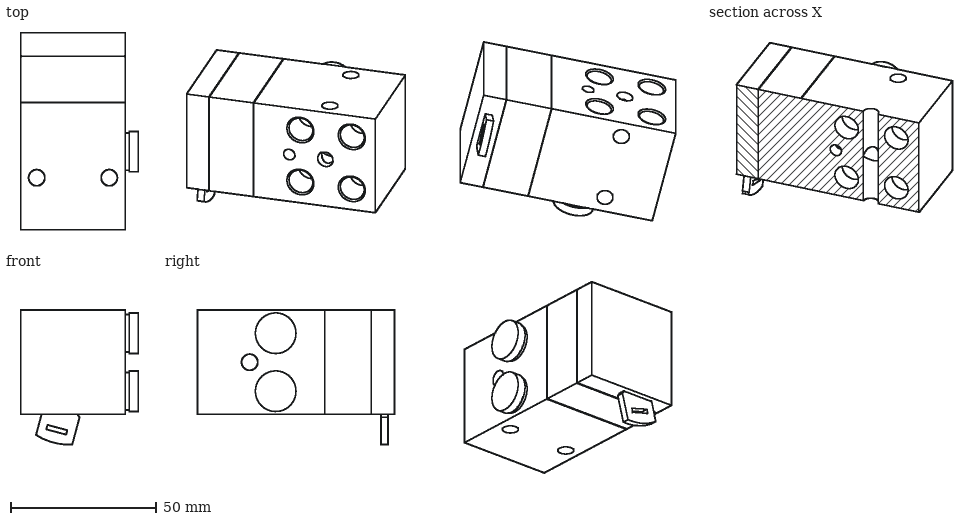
import cadquery as cq
import math

block_width = 36.05
block_height = 36.05
total_length = 68.0
cap_length = 8.0
body_length = total_length - cap_length
middle_x = block_width / 2
middle_z = block_height / 2

rear_section_length = 16.0
groove_width = 0.1
groove_depth = 0.2

port_diameter = 8.6
port_mouth_diameter = 9.7
port_chamfer = (port_mouth_diameter - port_diameter) / 2
port_depth = 12.0
front_port_y = 8.5
rear_port_y = 27.0
row_offset = 10.0
row_heights = (middle_z - row_offset, middle_z + row_offset)

mount_diameter = 5.5
mount_y = 18.0
mount_edge_distance = 5.5

drill_diameter = 4.0
drill_depth = 10.0
drill_y = 31.0
drill_point_angle = 118.0
drill_point_length = drill_diameter / 2 / math.tan(math.radians(drill_point_angle / 2))

fitting_neck_diameter = 13.0
fitting_head_diameter = 14.0
fitting_neck_length = 1.35
fitting_length = 4.5

lever_tilt = 15.0
lever_thickness = 2.5
lever_y = total_length - 3.5
lever_left_reach = 5.85
lever_right_reach = 7.15
lever_center = (lever_right_reach - lever_left_reach) / 2
lever_tip_drop = 28.55
lever_corner_drop = 27.55
lever_shoulder_drop = 17.8
lever_stem_right_reach = 6.1
lever_shoulder_rise = 0.95
lever_root_drop = 13.6
lever_slot_length = 7.0
lever_slot_width = 1.5
lever_slot_drop = 23.95


def x_cylinder(diameter, length, x, y, z):
    """Cylinder that starts at the given point and runs along +X."""
    return cq.Workplane("YZ", origin=(x, y, z)).circle(diameter / 2).extrude(length)


def x_cone(start_diameter, end_diameter, length, x, y, z):
    """Cone that starts at the given point and runs along +X."""
    start = cq.Vector(x, y, z)
    along_x = cq.Vector(1, 0, 0)
    cone = cq.Solid.makeCone(start_diameter / 2, end_diameter / 2, length, start, along_x)
    return cq.Workplane(obj=cone)


def block(start_y, length):
    """Plain rectangular stretch of the block along Y."""
    return cq.Workplane("XY", origin=(0, start_y, 0)).box(block_width, length, block_height, centered=False)


def groove(end_y):
    """Ring of material around the block, ending at end_y, to be cut away."""
    core = cq.Workplane("XY", origin=(middle_x, end_y - groove_width / 2, middle_z)).box(
        block_width - 2 * groove_depth, groove_width, block_height - 2 * groove_depth
    )
    return block(end_y - groove_width, groove_width).cut(core)


def port(y, z):
    """Flat-bottomed port with a chamfered mouth."""
    bore = x_cylinder(port_diameter, port_depth, 0, y, z)
    return bore.union(x_cone(port_mouth_diameter, port_diameter, port_chamfer, 0, y, z))


def drilled_hole():
    """Blind hole left by a pointed drill."""
    bore = x_cylinder(drill_diameter, drill_depth, 0, drill_y, middle_z)
    return bore.union(x_cone(drill_diameter, 0, drill_point_length, drill_depth, drill_y, middle_z))


def make_body():
    body = block(0, body_length)
    for end_y in (body_length - rear_section_length, body_length):
        body = body.cut(groove(end_y))
    for y in (front_port_y, rear_port_y):
        for z in row_heights:
            body = body.cut(port(y, z))
    for x in (mount_edge_distance, block_width - mount_edge_distance):
        vertical_hole = cq.Workplane("XY", origin=(x, mount_y, 0)).circle(mount_diameter / 2)
        body = body.cut(vertical_hole.extrude(block_height))
    body = body.cut(x_cylinder(mount_diameter, block_width, 0, mount_y, middle_z))
    return body.cut(drilled_hole())


def make_fitting(z):
    neck = x_cylinder(fitting_neck_diameter, fitting_neck_length, block_width, rear_port_y, z)
    head_x = block_width + fitting_neck_length
    head_length = fitting_length - fitting_neck_length
    return neck.union(x_cylinder(fitting_head_diameter, head_length, head_x, rear_port_y, z))


def make_lever():
    plate = (
        cq.Workplane("XZ", origin=(0, lever_thickness / 2, 0))
        .moveTo(-lever_left_reach, -lever_root_drop)
        .lineTo(-lever_left_reach, -lever_corner_drop)
        .threePointArc((lever_center, -lever_tip_drop), (lever_right_reach, -lever_corner_drop))
        .lineTo(lever_right_reach, -lever_shoulder_drop)
        .lineTo(lever_stem_right_reach, -lever_shoulder_drop + lever_shoulder_rise)
        .lineTo(lever_stem_right_reach, -lever_root_drop)
        .close()
        .extrude(lever_thickness)
    )
    slot = cq.Workplane("XY", origin=(lever_center, 0, -lever_slot_drop)).box(
        lever_slot_length, lever_thickness, lever_slot_width
    )
    tilted = plate.cut(slot).rotate((0, 0, 0), (0, 1, 0), lever_tilt)
    return tilted.translate((middle_x, lever_y, middle_z))


def make_cap(lever):
    """Rear cap with a pocket in its underside that fits the lever root."""
    return block(body_length, cap_length).cut(lever)


body = make_body()
lever = make_lever()
cap = make_cap(lever)
fittings = [make_fitting(z) for z in row_heights]

result = cq.Compound.makeCompound(
    [body.val(), cap.val(), lever.val(), *[fitting.val() for fitting in fittings]]
)